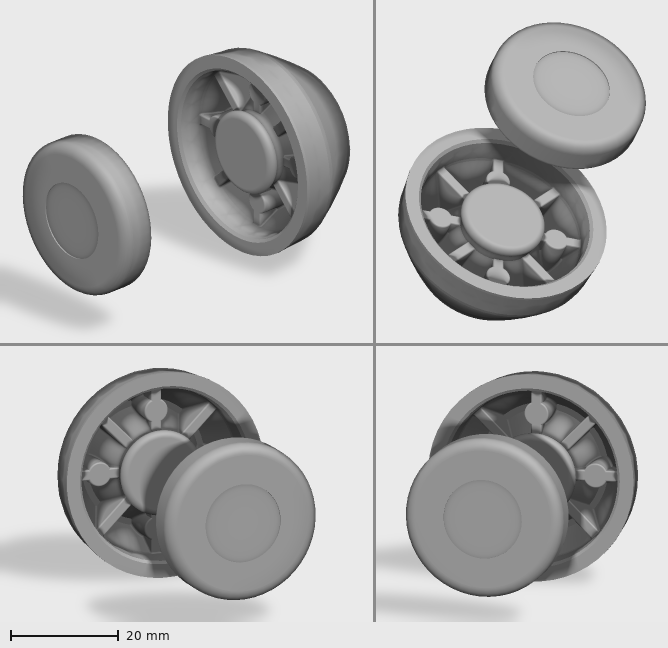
import cadquery as cq
import math


rim_radius = 19.5
lip_width = 0.6
drum_base_radius = 19.45
shoulder_radius = 19.0
shoulder_y = 6.55
back_y = 18.0
outer_length = 58.95
back_corner_radius = 11.55
bulge_radius = 15.75
bulge_y = 12.0
shoulder_round = 2.35
back_round = 2.85

mouth_radius = 16.9
mouth_chamfer = 0.55
wall_end_radius = 15.9
wall_end_y = 4.95
wall_round = 1.5
groove_floor_y = 11.8
groove_outer_radius = 12.15
groove_inner_radius = 10.95

neck_radius = 7.4
neck_base_y = 4.95
head_flat_radius = 6.9
head_front_y = 0.95
head_bead_radius = 1.2

rib_count = 8
rib_width = 2.0
rib_front_y = 4.7
rib_edge_round = 0.3
foot_round = 0.3
post_count = rib_count // 2
post_radius = 2.3
post_distance = 11.2

disc_radius = 15.0
disc_thickness = 7.0
disc_front_y = back_y - outer_length
disc_front_round = 2.0
disc_back_round = 1.05
recess_radius = 7.4
recess_depth = 0.25

match_tolerance = 0.005


def turned(points):
    """Solid of revolution about the Y axis from a closed outline of (radius, y) points."""
    return cq.Workplane("XY").polyline(points).close().revolve(360, (0, 0), (0, 1))


def cylinder(radius, start_y, end_y, x=0, z=0):
    """Cylinder parallel to the Y axis."""
    solid = cq.Solid.makeCylinder(radius, end_y - start_y, cq.Vector(x, start_y, z), cq.Vector(0, 1, 0))
    return cq.Workplane(solid)


def circle_edges(body, radius, y):
    """Circular edges of the given radius lying in the plane at the given y."""
    def matches(edge):
        if edge.geomType() != "CIRCLE":
            return False
        return abs(edge.radius() - radius) < match_tolerance and abs(edge.Center().y - y) < match_tolerance

    return body.newObject([edge for edge in body.edges().vals() if matches(edge)])


def make_shell():
    outline = (
        cq.Workplane("XY").polyline([
            (0, 0), (rim_radius, 0), (rim_radius, lip_width), (drum_base_radius, lip_width),
            (shoulder_radius, shoulder_y),
        ])
        .threePointArc((bulge_radius, bulge_y), (back_corner_radius, back_y))
        .lineTo(0, back_y).close()
    )
    shell = outline.revolve(360, (0, 0), (0, 1))
    shell = circle_edges(shell, shoulder_radius, shoulder_y).fillet(shoulder_round)
    return circle_edges(shell, back_corner_radius, back_y).fillet(back_round)


def make_cavity():
    cavity = turned([
        (0, 0), (mouth_radius, 0), (mouth_radius - mouth_chamfer, mouth_chamfer),
        (wall_end_radius, wall_end_y), (groove_outer_radius, groove_floor_y),
        (groove_inner_radius, groove_floor_y), (neck_radius, neck_base_y), (0, neck_base_y),
    ])
    return circle_edges(cavity, wall_end_radius, wall_end_y).fillet(wall_round)


def make_button():
    """Neck that carries a flat head with a full-round edge."""
    head_back_y = head_front_y + 2 * head_bead_radius
    head_radius = head_flat_radius + head_bead_radius
    head = (
        cq.Workplane("XY").moveTo(0, head_front_y).lineTo(head_flat_radius, head_front_y)
        .threePointArc((head_radius, head_front_y + head_bead_radius), (head_flat_radius, head_back_y))
        .lineTo(0, head_back_y).close().revolve(360, (0, 0), (0, 1))
    )
    neck = cylinder(neck_radius, head_front_y + head_bead_radius, neck_base_y)
    return neck.union(head)


def make_ribs():
    """Radial ribs, every second one thickened by a round post; they overrun the groove that trims them."""
    depth = groove_floor_y - rib_front_y
    rib = (
        cq.Workplane("XY").box(rim_radius, depth, rib_width, centered=(False, False, True))
        .translate((0, rib_front_y, 0)).edges("<Y and |X").fillet(rib_edge_round)
    )
    ribs = rib
    for index in range(1, rib_count):
        ribs = ribs.union(rib.rotate((0, 0, 0), (0, 1, 0), index * 360 / rib_count))
    for index in range(post_count):
        angle = math.radians(index * 360 / post_count)
        post = cylinder(
            post_radius, rib_front_y, groove_floor_y,
            post_distance * math.cos(angle), post_distance * math.sin(angle),
        )
        ribs = ribs.union(post.faces("<Y").edges().fillet(rib_edge_round))
    return ribs


def make_hollow():
    """Space inside the cup, with the feet of the ribs and posts rounded into the groove."""
    hollow = make_cavity().cut(make_ribs())
    feet = [
        edge for edge in hollow.edges().vals()
        if edge.geomType() not in ("LINE", "CIRCLE")
        and edge.BoundingBox().ymin > rib_front_y
    ]
    return hollow.newObject(feet).fillet(foot_round)


def make_cup():
    return make_shell().cut(make_hollow()).union(make_button())


def make_disc():
    disc_back_y = disc_front_y + disc_thickness
    disc = cylinder(disc_radius, disc_front_y, disc_back_y)
    disc = circle_edges(disc, disc_radius, disc_front_y).fillet(disc_front_round)
    disc = circle_edges(disc, disc_radius, disc_back_y).fillet(disc_back_round)
    return disc.cut(cylinder(recess_radius, disc_front_y, disc_front_y + recess_depth))


cup = make_cup()
disc = make_disc()
result = cq.Compound.makeCompound([cup.val(), disc.val()])